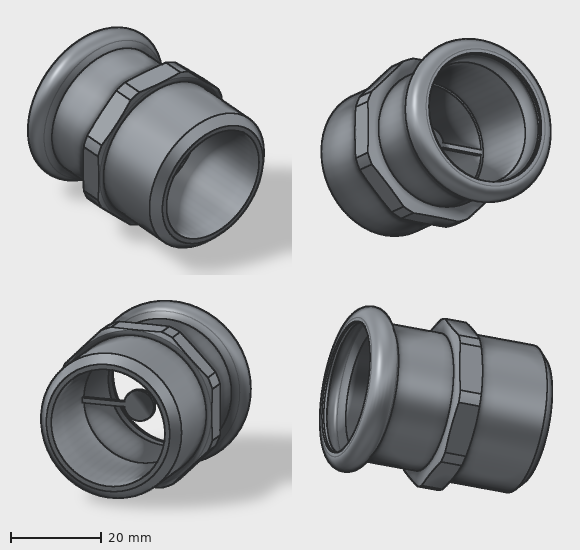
import cadquery as cq
import math

length = 43.4
bead_end = 6.5
flange_start = 19.57
flange_end = 25.55
stop_depth = (flange_start + flange_end) / 2

tube_radius = 15.55
thread_radius = 16.62
thread_chamfer = 2.05
socket_radius = 13.97
through_radius = 13.4

bead_diameter = 37.3
bead_radius = 2.95
bead_outer_radius = bead_diameter / 2
bead_ring_radius = bead_outer_radius - bead_radius
bead_arc_end = 5.55
groove_radius = 1.45
groove_arc_end = 4.15
socket_start = 5.35
lip_radius = 14.65
lip_depth = 1.15
lip_chamfer_length = 0.4
lip_chamfer_height = 0.15

flange_sides = 8
flange_apothem = 17.92
flange_corner_radius = 18.9
flange_front_rise = 0.7
flange_back_chamfer_radius = 17.8
flange_back_chamfer = 0.35

disc_radius = 3.5
arm_width = 1.15
web_thickness = arm_width


def revolve_about_x(profile):
    return profile.close().revolve(360, (0, 0, 0), (1, 0, 0))


def arc_radius(x, radius):
    """Distance from the X axis of the outer side of a bead arc at position x."""
    return bead_ring_radius + math.sqrt(radius**2 - (x - bead_radius) ** 2)


def make_body():
    return revolve_about_x(
        cq.Workplane("XY")
        .moveTo(0, 0)
        .lineTo(0, bead_ring_radius)
        .threePointArc(
            (bead_radius, bead_outer_radius),
            (bead_arc_end, arc_radius(bead_arc_end, bead_radius)),
        )
        .lineTo(bead_end, tube_radius)
        .lineTo(flange_end, tube_radius)
        .lineTo(flange_end, thread_radius)
        .lineTo(length - thread_chamfer, thread_radius)
        .lineTo(length, thread_radius - thread_chamfer)
        .lineTo(length, 0)
    )


def make_flange():
    octagon = (
        cq.Workplane("YZ", origin=(flange_start, 0, 0))
        .polygon(flange_sides, 2 * flange_apothem, circumscribed=True)
        .extrude(flange_end - flange_start)
    )
    turned_blank = revolve_about_x(
        cq.Workplane("XY")
        .moveTo(flange_start, 0)
        .lineTo(flange_start, tube_radius)
        .lineTo(flange_start + flange_front_rise, flange_corner_radius)
        .lineTo(flange_end - flange_back_chamfer, flange_corner_radius)
        .lineTo(flange_end, flange_back_chamfer_radius)
        .lineTo(flange_end, 0)
    )
    return octagon.intersect(turned_blank)


def make_bore():
    groove_start = bead_radius - groove_radius
    return revolve_about_x(
        cq.Workplane("XY")
        .moveTo(0, 0)
        .lineTo(0, lip_radius + lip_chamfer_height)
        .lineTo(lip_chamfer_length, lip_radius)
        .lineTo(lip_depth, lip_radius)
        .lineTo(groove_start, bead_ring_radius)
        .threePointArc(
            (bead_radius, bead_ring_radius + groove_radius),
            (groove_arc_end, arc_radius(groove_arc_end, groove_radius)),
        )
        .lineTo(socket_start, socket_radius)
        .lineTo(stop_depth, socket_radius)
        .lineTo(stop_depth, through_radius)
        .lineTo(length, through_radius)
        .lineTo(length, 0)
    )


def make_web():
    plane = cq.Workplane("YZ", origin=(stop_depth, 0, 0))
    disc = plane.circle(disc_radius).extrude(web_thickness)
    arm_length = (through_radius + tube_radius) / 2
    arm = plane.center(-arm_length / 2, 0).rect(arm_length, arm_width).extrude(web_thickness)
    return disc.union(arm)


shell = make_body().union(make_flange()).cut(make_bore())
result = shell.union(make_web()).clean()